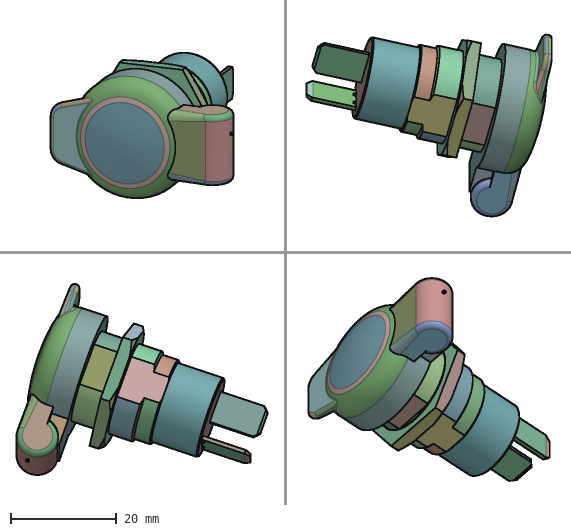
import cadquery as cq
import math


FLANGE_RADIUS = 11.95
CAP_ROUND_START = -4.85
CAP_ROUND_RADIUS = 4.05
CAP_BEVEL_OUTER_RADIUS = 9.05
DOME_RADIUS = 8.0
DOME_EDGE_Y = -9.05
DOME_TIP_Y = -9.9
CAP_FACE_Y = -8.3

THREAD_RADIUS = 9.0
THREAD_END_Y = 12.05
COLLAR_RADIUS = 8.4
COLLAR_START_Y = 12.4
COLLAR_END_Y = 15.65
COLLAR_CHAMFER = 0.22
BARREL_RADIUS = 7.88
BARREL_END_Y = 24.88
BARREL_CHAMFER = 0.25
FLAT_HEIGHT = 7.95

NUT_FRONT_Y = 4.95
NUT_REAR_Y = 7.45
NUT_CORNER_RADIUS = 12.75
NUT_CHAMFER_RADIUS = 11.45
NUT_CHAMFER_DEPTH = 0.7
NUT_RECESS_CLEARANCE = 0.1
NUT_RECESS_DEPTH = 0.15

BLADE_WIDTH = 6.3
BLADE_THICKNESS = 0.8
BLADE_EMBED_DEPTH = 2.22
BLADE_BASE_Y = BARREL_END_Y - BLADE_EMBED_DEPTH
FLAT_BLADE_X = -2.22
FLAT_BLADE_TIP_Y = 34.6
FLAT_BLADE_CORNER = 1.02
FLAT_BLADE_BEVEL = 0.5
UPRIGHT_BLADE_X = 5.1
UPRIGHT_BLADE_TIP_Y = 34.5
UPRIGHT_BLADE_CORNER = 1.05
UPRIGHT_BLADE_BEVEL = 1.15
BEVEL_INSET = 0.2
BLADE_HOLE_RADIUS = 0.55
BLADE_HOLE_OFFSET = 1.5

TAB_END_X = -15.5
TAB_ROOT_X = -7.55
TAB_ROOT_HALF_WIDTH = 7.65
TAB_END_HALF_WIDTH = 5.45
TAB_CORNER_RADIUS = 3.03
TAB_END_REAR_Y = -6.7
TAB_ROOT_REAR_Y = -6.15
TAB_EDGE_ROUND = 0.75
TAB_ROOT_BLEND = 0.45

HINGE_X = 16.0
HINGE_Y = -4.35
HINGE_HALF_WIDTH = 7.0
KNUCKLE_RADIUS = HINGE_Y - CAP_FACE_Y
KNUCKLE_EDGE_ROUND = 1.05
ARM_REAR_Y = -3.35
ARM_ROUND_AT_CAP = 1.9
BRACKET_HALF_WIDTH = 5.47

PEG_TIP_X = 20.35
PEG_Y = -4.85
PEG_Z = 2.85
PEG_DIAMETER = 0.6


def box_between(x_range, y_range, z_range):
    lengths = [high - low for low, high in (x_range, y_range, z_range)]
    corner = (x_range[0], y_range[0], z_range[0])
    return cq.Workplane("XY").box(*lengths, centered=False).translate(corner)


def make_cap():
    """Flange and domed cap as one revolved shape."""
    round_centre_radius = FLANGE_RADIUS - CAP_ROUND_RADIUS
    end_angle = math.acos((CAP_BEVEL_OUTER_RADIUS - round_centre_radius) / CAP_ROUND_RADIUS)

    def round_point(angle):
        radius = round_centre_radius + CAP_ROUND_RADIUS * math.cos(angle)
        return radius, CAP_ROUND_START - CAP_ROUND_RADIUS * math.sin(angle)

    dome_height = DOME_EDGE_Y - DOME_TIP_Y
    sphere_radius = (DOME_RADIUS**2 + dome_height**2) / (2 * dome_height)
    half_angle = math.asin(DOME_RADIUS / sphere_radius) / 2
    dome_middle = (
        sphere_radius * math.sin(half_angle),
        DOME_TIP_Y + sphere_radius * (1 - math.cos(half_angle)),
    )
    return (
        cq.Workplane("XY")
        .lineTo(FLANGE_RADIUS, 0)
        .lineTo(FLANGE_RADIUS, CAP_ROUND_START)
        .threePointArc(round_point(end_angle / 2), round_point(end_angle))
        .lineTo(DOME_RADIUS, DOME_EDGE_Y)
        .threePointArc(dome_middle, (0, DOME_TIP_Y))
        .close()
        .revolve(360, (0, 0), (0, 1))
    )


def make_body():
    """Threaded section, collar and barrel, cut by two flats."""
    outline = [
        (0, 0),
        (THREAD_RADIUS, 0),
        (THREAD_RADIUS, THREAD_END_Y),
        (COLLAR_RADIUS, COLLAR_START_Y),
        (COLLAR_RADIUS, COLLAR_END_Y - COLLAR_CHAMFER),
        (COLLAR_RADIUS - COLLAR_CHAMFER, COLLAR_END_Y),
        (BARREL_RADIUS, COLLAR_END_Y),
        (BARREL_RADIUS, BARREL_END_Y - BARREL_CHAMFER),
        (BARREL_RADIUS - BARREL_CHAMFER, BARREL_END_Y),
        (0, BARREL_END_Y),
    ]
    body = cq.Workplane("XY").polyline(outline).close().revolve(360, (0, 0), (0, 1))
    across = (-THREAD_RADIUS, THREAD_RADIUS)
    return body.intersect(box_between(across, (0, BARREL_END_Y), (-FLAT_HEIGHT, FLAT_HEIGHT)))


def make_nut():
    """Hexagonal nut closed around the body, with chamfered rear corners and a shallow front recess."""
    hexagon = (
        cq.Workplane("XZ", origin=(0, NUT_REAR_Y, 0))
        .polygon(6, 2 * NUT_CORNER_RADIUS)
        .extrude(NUT_REAR_Y - NUT_FRONT_Y)
        .faces("<Y")
        .workplane(origin=(0, NUT_FRONT_Y, 0))
        .circle(THREAD_RADIUS + NUT_RECESS_CLEARANCE)
        .cutBlind(-NUT_RECESS_DEPTH)
    )
    chamfer_envelope = [
        (0, NUT_FRONT_Y),
        (NUT_CORNER_RADIUS, NUT_FRONT_Y),
        (NUT_CORNER_RADIUS, NUT_REAR_Y - NUT_CHAMFER_DEPTH),
        (NUT_CHAMFER_RADIUS, NUT_REAR_Y),
        (0, NUT_REAR_Y),
    ]
    envelope = cq.Workplane("XY").polyline(chamfer_envelope).close().revolve(360, (0, 0), (0, 1))
    return hexagon.intersect(envelope)


def make_blade(tip_y, corner, bevel):
    """Blade lying flat on the axis, with cut corners and a bevelled tip."""

    def tapered_outline(plane, half_width, inset, taper_length):
        return cq.Workplane(plane).polyline([
            (-half_width, BLADE_BASE_Y),
            (half_width, BLADE_BASE_Y),
            (half_width, tip_y - taper_length),
            (half_width - inset, tip_y),
            (inset - half_width, tip_y),
            (-half_width, tip_y - taper_length),
        ]).close()

    face = tapered_outline("XY", BLADE_WIDTH / 2, corner, corner)
    edge_plane = cq.Plane(origin=(0, 0, 0), xDir=(0, 0, 1), normal=(-1, 0, 0))
    edge = tapered_outline(edge_plane, BLADE_THICKNESS / 2, BEVEL_INSET, bevel)
    blade = face.extrude(BLADE_THICKNESS / 2, both=True)
    return blade.intersect(edge.extrude(BLADE_WIDTH / 2, both=True))


def make_flat_blade():
    blade = make_blade(FLAT_BLADE_TIP_Y, FLAT_BLADE_CORNER, FLAT_BLADE_BEVEL)
    return blade.translate((FLAT_BLADE_X, 0, 0))


def make_upright_blade():
    """Blade turned on edge, with two holes level with the barrel end."""
    blade = make_blade(UPRIGHT_BLADE_TIP_Y, UPRIGHT_BLADE_CORNER, UPRIGHT_BLADE_BEVEL)
    holes = (
        cq.Workplane("XY")
        .pushPoints([(side * BLADE_HOLE_OFFSET, BARREL_END_Y) for side in (-1, 1)])
        .circle(BLADE_HOLE_RADIUS)
        .extrude(BLADE_THICKNESS, both=True)
    )
    return blade.cut(holes).rotate((0, 0, 0), (0, 1, 0), 90).translate((UPRIGHT_BLADE_X, 0, 0))


def make_thumb_tab():
    """Tapered tab with rounded edges, slightly thicker toward the cap."""
    side_slope = (TAB_ROOT_HALF_WIDTH - TAB_END_HALF_WIDTH) / (TAB_ROOT_X - TAB_END_X)
    axis_half_width = TAB_ROOT_HALF_WIDTH - TAB_ROOT_X * side_slope
    outline = (
        cq.Workplane("XZ")
        .polyline([
            (0, axis_half_width),
            (TAB_END_X, TAB_END_HALF_WIDTH),
            (TAB_END_X, -TAB_END_HALF_WIDTH),
            (0, -axis_half_width),
        ])
        .close()
        .extrude(-CAP_FACE_Y)
        .edges("|Y and <X")
        .fillet(TAB_CORNER_RADIUS)
    )
    rear_slope = (TAB_ROOT_REAR_Y - TAB_END_REAR_Y) / (TAB_ROOT_X - TAB_END_X)
    section = (
        cq.Workplane("XY")
        .polyline([
            (0, CAP_FACE_Y),
            (TAB_END_X, CAP_FACE_Y),
            (TAB_END_X, TAB_END_REAR_Y),
            (0, TAB_ROOT_REAR_Y - TAB_ROOT_X * rear_slope),
        ])
        .close()
        .extrude(axis_half_width, both=True)
    )
    tab = outline.intersect(section)
    tab = tab.faces("<Y").edges("not >X").fillet(TAB_EDGE_ROUND)
    return tab.faces(">Y").edges("not >X").fillet(TAB_EDGE_ROUND)


def make_cap_with_tab():
    """Cap and thumb tab, blended along the line where they meet."""
    joined = make_cap().union(make_thumb_tab())
    rear_of_tab_root = (-FLANGE_RADIUS, TAB_ROOT_REAR_Y, 0)
    root_edge = joined.edges(cq.NearestToPointSelector(rear_of_tab_root))
    return joined.newObject(root_edge.vals()).fillet(TAB_ROOT_BLEND)


def make_hinge():
    """Knuckle and arm of the cap, with the flange bracket behind them."""
    arm_start_x = DOME_RADIUS
    arm = box_between(
        (arm_start_x, HINGE_X), (CAP_FACE_Y, ARM_REAR_Y), (-HINGE_HALF_WIDTH, HINGE_HALF_WIDTH)
    )
    knuckle = (
        cq.Workplane("XY", origin=(HINGE_X, HINGE_Y, 0))
        .circle(KNUCKLE_RADIUS)
        .extrude(HINGE_HALF_WIDTH, both=True)
        .faces("|Z")
        .edges()
        .fillet(KNUCKLE_EDGE_ROUND)
    )
    for side in (-1, 1):
        arm = arm.cut(make_arm_round(arm_start_x, side))
    bracket = box_between((0, HINGE_X), (HINGE_Y, 0), (-BRACKET_HALF_WIDTH, BRACKET_HALF_WIDTH))
    return arm.union(knuckle).union(bracket)


def make_arm_round(start_x, side):
    """Waste outside a rounded front edge whose radius shrinks toward the knuckle."""

    def corner_section(workplane, radius):
        edge_z = side * HINGE_HALF_WIDTH
        inner_z = side * (HINGE_HALF_WIDTH - radius)
        arc_reach = radius * math.sqrt(0.5)
        arc_middle = (CAP_FACE_Y + radius - arc_reach, inner_z + side * arc_reach)
        return (
            workplane.moveTo(CAP_FACE_Y, edge_z)
            .lineTo(CAP_FACE_Y + radius, edge_z)
            .threePointArc(arc_middle, (CAP_FACE_Y, inner_z))
            .close()
        )

    section = corner_section(cq.Workplane("YZ", origin=(start_x, 0, 0)), ARM_ROUND_AT_CAP)
    section = section.workplane(offset=HINGE_X - start_x)
    return corner_section(section, KNUCKLE_EDGE_ROUND).loft(ruled=True)


def make_peg():
    length = PEG_TIP_X - HINGE_X
    return cq.Workplane("YZ", origin=(HINGE_X, PEG_Y, PEG_Z)).circle(PEG_DIAMETER / 2).extrude(length)


result = make_cap_with_tab()
for feature in (
    make_body(),
    make_nut(),
    make_flat_blade(),
    make_upright_blade(),
    make_hinge(),
    make_peg(),
):
    result = result.union(feature)